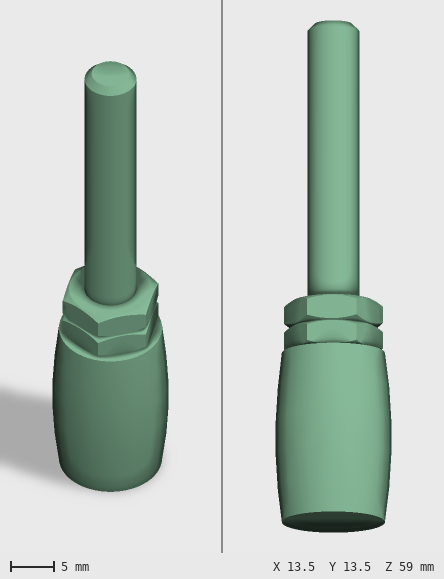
import cadquery as cq
import math

total_height = 59.0
grip_height = 20.0
nut_height = 3.0
nut_count = 2

grip_end_diameter = 12.0
grip_middle_diameter = 13.5

stud_diameter = 6.0
stud_tip_diameter = 4.35
stud_chamfer = (stud_diameter - stud_tip_diameter) / 2
stud_depth_in_grip = grip_height / 2
stud_bottom = grip_height - stud_depth_in_grip

nut_across_flats = 10.0
nut_across_corners = nut_across_flats / math.cos(math.pi / 6)
nut_face_diameter = 9.6
nut_chamfer_angle = math.radians(30)
nut_chamfer_width = (nut_across_corners - nut_face_diameter) / 2
nut_chamfer_height = nut_chamfer_width * math.tan(nut_chamfer_angle)


def make_grip():
    """Barrel with a curved side and a blind hole for the stud."""
    end_radius = grip_end_diameter / 2
    barrel = (
        cq.Workplane("XZ")
        .lineTo(end_radius, 0)
        .threePointArc((grip_middle_diameter / 2, grip_height / 2), (end_radius, grip_height))
        .lineTo(0, grip_height)
        .close()
        .revolve(360, (0, 0, 0), (0, 1, 0))
    )
    return barrel.faces(">Z").workplane().hole(stud_diameter, stud_depth_in_grip)


def make_stud():
    """Straight stud with a chamfered free end."""
    return (
        cq.Workplane("XY", origin=(0, 0, stud_bottom))
        .circle(stud_diameter / 2)
        .extrude(total_height - stud_bottom)
        .faces(">Z")
        .chamfer(stud_chamfer)
    )


def make_nut(bottom):
    """Hexagonal nut with its corners turned down on both faces."""
    hexagon = cq.Workplane("XY").polygon(6, nut_across_corners).extrude(nut_height)
    face_radius = nut_face_diameter / 2
    corner_radius = nut_across_corners / 2
    turned_envelope = (
        cq.Workplane("XZ")
        .lineTo(face_radius, 0)
        .lineTo(corner_radius, nut_chamfer_height)
        .lineTo(corner_radius, nut_height - nut_chamfer_height)
        .lineTo(face_radius, nut_height)
        .lineTo(0, nut_height)
        .close()
        .revolve(360, (0, 0, 0), (0, 1, 0))
    )
    nut = hexagon.intersect(turned_envelope).faces(">Z").workplane().hole(stud_diameter)
    return nut.translate((0, 0, bottom))


grip = make_grip()
stud = make_stud()
nuts = [make_nut(grip_height + index * nut_height) for index in range(nut_count)]

bodies = [grip, stud, *nuts]
result = cq.Compound.makeCompound([body.solids().val() for body in bodies])